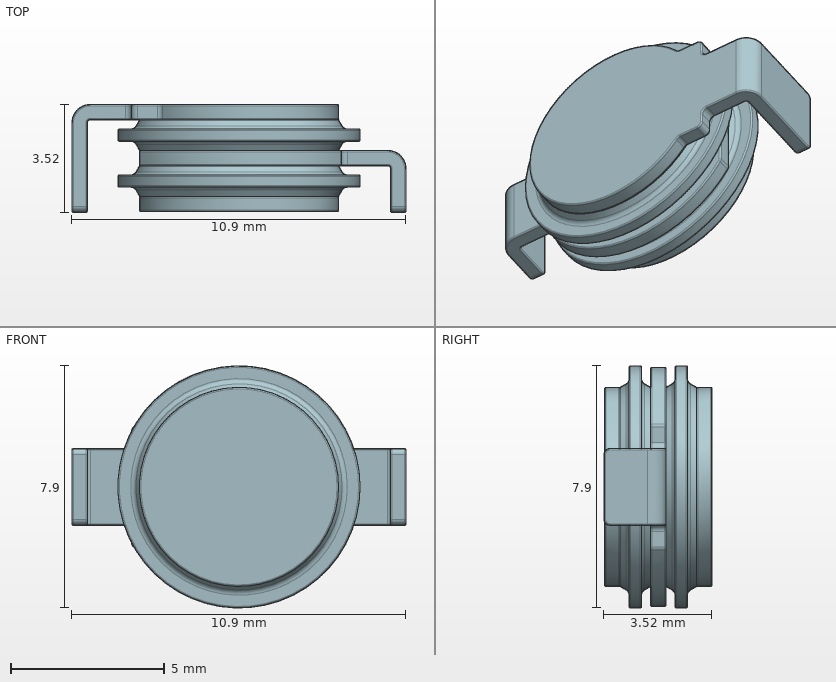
import cadquery as cq
import math


overall_depth = 3.52
stack_depth = 3.5
plate_thickness = 0.5
disc_thickness = 0.4
disc_radius = 7.9 / 2
cap_radius = 6.5 / 2
boss_taper = 30
corner_radius = 0.2
edge_radius = 0.049

tab_reach = 5.45
tab_width = 2.51
bend_inner_radius = 0.1

shoulder_width = 4.0
shoulder_reach = 3.51
middle_radius = 3.9
middle_flat_left = 3.25
middle_flat_right = 3.35

layer_pitch = (stack_depth - plate_thickness) / 2
disc_height = layer_pitch - plate_thickness
boss_height = (disc_height - disc_thickness) / 2
stack_rear = stack_depth / 2
stack_front = -stack_rear
leg_end = stack_rear - overall_depth
bend_outer_radius = bend_inner_radius + plate_thickness

LEFT = -1
RIGHT = 1


def round_plate(radius, rear, thickness=plate_thickness):
    """Flat round plate whose rear face lies at y = rear."""
    return cq.Workplane("XZ", origin=(0, rear, 0)).circle(radius).extrude(thickness)


def plate_bar(x_start, x_end, width, rear):
    """Flat bar of plate thickness between two X positions, centred on z = 0."""
    centre = ((x_start + x_end) / 2, rear - plate_thickness / 2, 0)
    return cq.Workplane("XY").box(abs(x_end - x_start), plate_thickness, width).translate(centre)


def bent_tab(side, root_reach, rear):
    """Strip that runs outward from root_reach and bends forward into a leg."""
    root = side * root_reach
    outer = side * tab_reach
    inner = side * (tab_reach - plate_thickness)
    bend_x = side * (tab_reach - bend_outer_radius)
    bend_y = rear - bend_outer_radius
    diagonal = math.sqrt(0.5)
    outer_mid = (bend_x + side * bend_outer_radius * diagonal, bend_y + bend_outer_radius * diagonal)
    inner_mid = (bend_x + side * bend_inner_radius * diagonal, bend_y + bend_inner_radius * diagonal)
    strip = (
        cq.Workplane("XY", origin=(0, 0, -tab_width / 2))
        .moveTo(root, rear)
        .lineTo(bend_x, rear)
        .threePointArc(outer_mid, (outer, bend_y))
        .lineTo(outer, leg_end)
        .lineTo(inner, leg_end)
        .lineTo(inner, bend_y)
        .threePointArc(inner_mid, (bend_x, rear - plate_thickness))
        .lineTo(root, rear - plate_thickness)
        .close()
        .extrude(tab_width)
    )
    return strip.faces("<Y").edges("|X").fillet(corner_radius)


def round_rims(terminal):
    """Round the rims of both broad faces, not the edges across the thickness or along the bends."""
    tolerance = 1.09e-05

    def is_rim(edge):
        if edge.geomType() != "LINE":
            return True
        crosses_thickness = math.isclose(edge.Length(), plate_thickness, abs_tol=tolerance)
        spans_tab = math.isclose(edge.Length(), tab_width, abs_tol=tolerance)
        return not (crosses_thickness or spans_tab)

    return terminal.edges().filter(is_rim).fillet(edge_radius)


def make_rear_terminal():
    """Round plate with a shouldered tab on -X."""
    tab_root = (shoulder_reach + tab_reach - bend_outer_radius) / 2
    plate = round_plate(cap_radius, stack_rear)
    plate = plate.union(plate_bar(LEFT * shoulder_reach, 0, shoulder_width, stack_rear))
    plate = plate.union(plate_bar(LEFT * tab_root, 0, tab_width, stack_rear))
    plate = plate.edges("|Y and (not <X) and (not >X)").fillet(corner_radius)
    return round_rims(plate.union(bent_tab(LEFT, tab_root, stack_rear)))


def make_middle_terminal():
    """Round plate with a flat on each side and a tab on +X."""
    rear = stack_rear - layer_pitch
    tab_root = (middle_flat_right + tab_reach - bend_outer_radius) / 2
    flats = plate_bar(-middle_flat_left, middle_flat_right, 2 * middle_radius, rear)
    plate = round_plate(middle_radius, rear).intersect(flats)
    plate = plate.union(plate_bar(0, RIGHT * tab_root, tab_width, rear))
    plate = plate.edges("|Y and (not >X)").fillet(corner_radius)
    return round_rims(plate.union(bent_tab(RIGHT, tab_root, rear)))


def make_front_cap():
    """Plain round plate at the front of the stack."""
    cap = round_plate(cap_radius, stack_front + plate_thickness)
    return cap.edges("%CIRCLE").fillet(edge_radius)


def make_boss():
    """Tapered boss on the +Y face of a disc centred on the origin, flared at its root."""
    base_y = disc_thickness / 2
    taper = math.radians(boss_taper)
    flare_setback = corner_radius * math.tan((math.pi / 2 - taper) / 2)
    flare_mid_angle = (math.pi / 2 + taper) / 2
    sharp_root_radius = cap_radius + boss_height * math.tan(taper)
    flare_radius = sharp_root_radius + flare_setback
    flare_mid = (
        flare_radius - corner_radius * math.cos(flare_mid_angle),
        base_y + corner_radius * (1 - math.sin(flare_mid_angle)),
    )
    wall_start = (
        sharp_root_radius - flare_setback * math.sin(taper),
        base_y + flare_setback * math.cos(taper),
    )
    return (
        cq.Workplane("XY")
        .moveTo(0, base_y)
        .lineTo(flare_radius, base_y)
        .threePointArc(flare_mid, wall_start)
        .lineTo(cap_radius, base_y + boss_height)
        .lineTo(0, base_y + boss_height)
        .close()
        .revolve(360, (0, 0, 0), (0, 1, 0))
    )


def make_disc(centre_y):
    """Disc with a rounded rim and a boss on each face."""
    disc = round_plate(disc_radius, disc_thickness / 2, disc_thickness)
    disc = disc.edges("%CIRCLE").fillet(edge_radius)
    boss = make_boss()
    disc = disc.union(boss).union(boss.mirror("XZ"))
    return disc.translate((0, centre_y, 0))


rear_terminal = make_rear_terminal()
middle_terminal = make_middle_terminal()
front_cap = make_front_cap()
discs = [make_disc(side * layer_pitch / 2) for side in (-1, 1)]

result = cq.Compound.makeCompound([
    rear_terminal.val(),
    middle_terminal.val(),
    front_cap.val(),
    *[disc.val() for disc in discs],
])